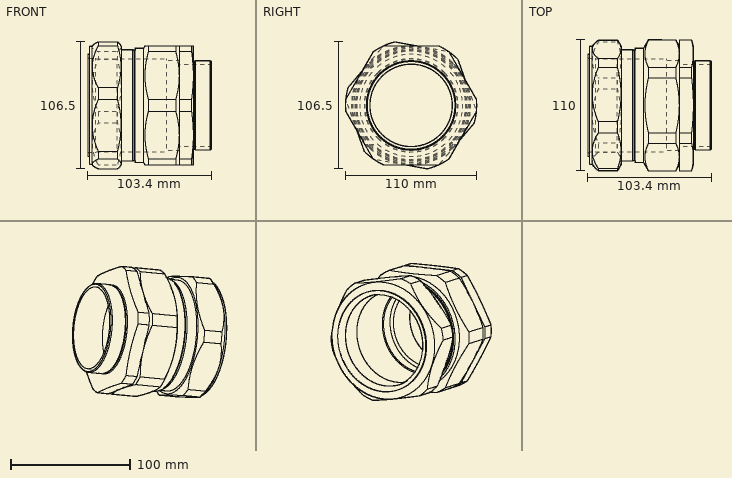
import cadquery as cq
import math


SEAL_END = 1.3
COLLAR_END = 3.4
CLAMP_NUT_END = 28.3
SHOULDER_END = 38.5
RING_START = 39.6
BODY_START = 46.6
BODY_END = 76.5
FLANGE_END = 88.3
THREAD_START = 90.3
TOTAL_LENGTH = 103.4

HEX_SIDES = 6
ACROSS_FLATS = 99.8
CORNER_RADIUS = 55.0
CLAMP_NUT_TURN = -10.4
ENTRY_CHAMFER_ANGLE = 45.0
NUT_CHAMFER_ANGLE = 60.0
FLANGE_CHAMFER_ANGLE = 74.0

SEAL_RADIUS = 43.0
COLLAR_RADIUS = 49.7
COLLAR_ROUND = 1.0
CLAMP_NUT_BACK_RADIUS = 49.0
SHOULDER_RADIUS = 46.7
SHOULDER_CHAMFER_LENGTH = 1.2
SHOULDER_CHAMFER_DEPTH = 0.4
GROOVE_RADIUS = 45.5
GROOVE_LIP_RADIUS = 46.5
GROOVE_FLOOR_START = 38.7
GROOVE_FLOOR_END = 39.0
RING_RADIUS = 47.9
FLANGE_FACE_RADIUS = 49.9
NECK_RADIUS = 36.7
NECK_LENGTH = 0.3
THREAD_RADIUS = 37.5
THREAD_CHAMFER_LENGTH = 1.0
THREAD_CHAMFER_DEPTH = 0.8

ENTRY_RADIUS = 39.3
ENTRY_ROUND = 1.6
ENTRY_DEPTH = 6.3
SLEEVE_RADIUS = 39.0
SLEEVE_END = 24.5
CHAMBER_RADIUS = 38.9
CHAMBER_END = 66.0
SEAT_RADIUS = 37.7
SEAT_END = BODY_END
THROUGH_RADIUS = 34.4


def revolve(profile):
    """Close a profile of (x, radius) points and turn it about the X axis."""
    return profile.close().revolve(360, (0, 0, 0), (1, 0, 0))


def turned(points):
    """Solid of revolution about X from straight-sided (x, radius) points."""
    return revolve(cq.Workplane("XY").polyline(points))


def cylinder(start, end, radius):
    return turned([(start, 0), (start, radius), (end, radius), (end, 0)])


def chamfer_length(end_radius, angle):
    """Length along X of a cone rising from end_radius to the hexagon corners."""
    return (CORNER_RADIUS - end_radius) / math.tan(math.radians(angle))


def hexagon(start, end, start_chamfer=0.0, start_radius=CORNER_RADIUS,
            end_chamfer=0.0, end_radius=CORNER_RADIUS, turn=0.0):
    """Hexagonal section, flats up and down, with turned corners and end cones."""
    half_side_angle = 180 / HEX_SIDES
    across_corners = ACROSS_FLATS / math.cos(math.radians(half_side_angle))
    prism = (
        cq.Workplane("YZ", origin=(start, 0, 0))
        .polygon(HEX_SIDES, across_corners)
        .extrude(end - start)
        .rotate((0, 0, 0), (1, 0, 0), turn)
    )
    outline = [(start, 0), (start, start_radius)]
    if start_chamfer:
        outline.append((start + start_chamfer, CORNER_RADIUS))
    if end_chamfer:
        outline.append((end - end_chamfer, CORNER_RADIUS))
    outline += [(end, end_radius), (end, 0)]
    return prism.intersect(turned(outline))


def clamp_nut():
    """Sealing ring, rounded collar and turned hexagon at the cable entry."""
    seal = cylinder(0, COLLAR_END, SEAL_RADIUS)
    collar = cylinder(SEAL_END, COLLAR_END, COLLAR_RADIUS).faces("<X").edges().fillet(COLLAR_ROUND)
    nut = hexagon(
        COLLAR_END, CLAMP_NUT_END,
        chamfer_length(COLLAR_RADIUS, ENTRY_CHAMFER_ANGLE), COLLAR_RADIUS,
        chamfer_length(CLAMP_NUT_BACK_RADIUS, NUT_CHAMFER_ANGLE), CLAMP_NUT_BACK_RADIUS,
        turn=CLAMP_NUT_TURN,
    )
    return nut.union(collar).union(seal)


def middle():
    """Round shoulder, groove and ring between the two hexagons."""
    chamfer_start = SHOULDER_END - SHOULDER_CHAMFER_LENGTH
    return turned([
        (CLAMP_NUT_END, 0),
        (CLAMP_NUT_END, SHOULDER_RADIUS),
        (chamfer_start, SHOULDER_RADIUS),
        (SHOULDER_END, SHOULDER_RADIUS - SHOULDER_CHAMFER_DEPTH),
        (GROOVE_FLOOR_START, GROOVE_RADIUS),
        (GROOVE_FLOOR_END, GROOVE_RADIUS),
        (RING_START, GROOVE_LIP_RADIUS),
        (RING_START, RING_RADIUS),
        (BODY_START, RING_RADIUS),
        (BODY_START, 0),
    ])


def body():
    """Hexagonal body and the thinner hexagonal flange behind it."""
    main = hexagon(
        BODY_START, BODY_END,
        chamfer_length(RING_RADIUS, NUT_CHAMFER_ANGLE), RING_RADIUS,
        chamfer_length(FLANGE_FACE_RADIUS, NUT_CHAMFER_ANGLE), FLANGE_FACE_RADIUS,
    )
    flange = hexagon(
        BODY_END, FLANGE_END,
        end_chamfer=chamfer_length(FLANGE_FACE_RADIUS, FLANGE_CHAMFER_ANGLE),
        end_radius=FLANGE_FACE_RADIUS,
    )
    return main.union(flange)


def connection_thread():
    """Plain thread cylinder with a V-shaped neck and a chamfered end."""
    neck_middle = (FLANGE_END + THREAD_START) / 2
    return turned([
        (FLANGE_END, 0),
        (FLANGE_END, THREAD_RADIUS),
        (neck_middle - NECK_LENGTH / 2, NECK_RADIUS),
        (neck_middle + NECK_LENGTH / 2, NECK_RADIUS),
        (THREAD_START, THREAD_RADIUS),
        (TOTAL_LENGTH - THREAD_CHAMFER_LENGTH, THREAD_RADIUS),
        (TOTAL_LENGTH, THREAD_RADIUS - THREAD_CHAMFER_DEPTH),
        (TOTAL_LENGTH, 0),
    ])


def bore():
    """Stepped hole through the whole length, with a rounded entry."""
    bend = ENTRY_ROUND * math.sqrt(0.5)
    return revolve(
        cq.Workplane("XY")
        .moveTo(0, 0)
        .lineTo(0, ENTRY_RADIUS + ENTRY_ROUND)
        .threePointArc(
            (ENTRY_ROUND - bend, ENTRY_RADIUS + ENTRY_ROUND - bend),
            (ENTRY_ROUND, ENTRY_RADIUS),
        )
        .lineTo(ENTRY_DEPTH, ENTRY_RADIUS)
        .lineTo(ENTRY_DEPTH, SLEEVE_RADIUS)
        .lineTo(SLEEVE_END, SLEEVE_RADIUS)
        .lineTo(SLEEVE_END, CHAMBER_RADIUS)
        .lineTo(CHAMBER_END, CHAMBER_RADIUS)
        .lineTo(CHAMBER_END, SEAT_RADIUS)
        .lineTo(SEAT_END, SEAT_RADIUS)
        .lineTo(SEAT_END, THROUGH_RADIUS)
        .lineTo(TOTAL_LENGTH, THROUGH_RADIUS)
        .lineTo(TOTAL_LENGTH, 0)
    )


result = clamp_nut().union(middle()).union(body()).union(connection_thread()).cut(bore())